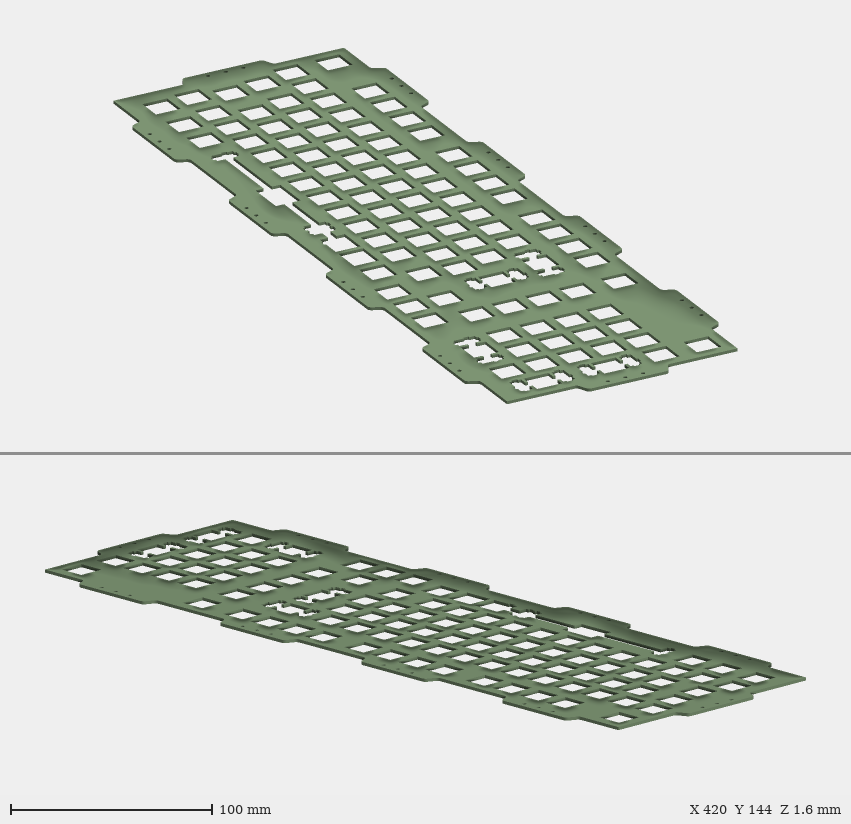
import cadquery as cq

LENGTH = 420.0
WIDTH = 144.0
THICKNESS = 1.6

TAB_HEIGHT = 6.7
TAB_TIP_LENGTH = 45.5
TAB_ROOT_LENGTH = 51.2
TAB_ROUNDING = 2.5
TAB_PITCH = 100.0
LONG_SIDE_TABS = 4
BODY_LENGTH = LENGTH - 2 * TAB_HEIGHT
BODY_WIDTH = WIDTH - 2 * TAB_HEIGHT

HOLE_DIAMETER = 2.2
HOLE_PITCH = TAB_PITCH / 10
HOLES_PER_TAB = 3
HOLE_INSET = 3.5

FIELD_LENGTH = 400.0
FIELD_UNITS = 21
UNIT = FIELD_LENGTH / FIELD_UNITS
KEY_GAP = 5.0
SWITCH_SIZE = UNIT - KEY_GAP

STAB_WIDTH = 6.7
STAB_TOP = SWITCH_SIZE / 2 - 1.45
STAB_BOTTOM = SWITCH_SIZE / 2 - 0.23
STAB_TIP_WIDTH = 3.15
STAB_TIP_TOP = SWITCH_SIZE / 2 - 0.55
STAB_TIP_BOTTOM = SWITCH_SIZE / 2 + 0.95
WIRE_WIDTH = 4.5
WIRE_SLOT_DEPTH = 0.9
WIRE_SLOT_BOTTOM = 0.5
SHORT_STAB_SPAN = 24.0


def run(first, count):
    """Centres of neighbouring one-unit keys, starting at `first`."""
    return [first + i for i in range(count)]


NAVIGATION = [16]
NUMPAD = run(17.5, 3)

KEY_ROWS = {
    2.75: [0.5] + run(2.5, 4) + run(7, 4) + run(11.5, 4) + NAVIGATION + [20.5],
    1.5: run(0.5, 13) + [14] + NAVIGATION + NUMPAD + [20.5],
    0.5: [0.75] + run(2, 12) + NAVIGATION + NUMPAD,
    0: [14.375, 20.5],
    -0.5: [0.875] + run(2.25, 12) + NAVIGATION + NUMPAD,
    -1.5: [0.625] + run(1.75, 11) + [13.125] + NAVIGATION + NUMPAD,
    -1.75: [14.75],
    -2: [20.5],
    -2.5: [0.75, 2, 3.125, 6.875, 7.25, 10.375, 10.5, 11.375, 11.5, 12.5, 18, 19.5],
    -2.75: run(13.75, 3),
}

STABILIZED_KEYS = [(14, 1.5, 0), (18, -2.5, 0), (14.375, 0, -90), (20.5, 0, -90), (20.5, -2, -90)]

SPACE_ROW = -2.5
SPACE_LEFT_STEM = 4.25
SPACE_RIGHT_STEMS = [9.25, 9.5, 10.25]


def key_x(units):
    return (units - FIELD_UNITS / 2) * UNIT


def key_y(units):
    return units * UNIT


def block(x_min, x_max, y_min, y_max):
    """Box as thick as the plate over the given rectangle."""
    size_x = x_max - x_min
    size_y = y_max - y_min
    return cq.Workplane("XY").box(size_x, size_y, THICKNESS).translate(
        ((x_min + x_max) / 2, (y_min + y_max) / 2, 0)
    )


def tab_positions():
    """Centre on the body edge and outward rotation of every tab."""
    positions = [(-BODY_LENGTH / 2, 0, 90), (BODY_LENGTH / 2, 0, -90)]
    for i in range(LONG_SIDE_TABS):
        x = (i - (LONG_SIDE_TABS - 1) / 2) * TAB_PITCH
        positions += [(x, BODY_WIDTH / 2, 0), (x, -BODY_WIDTH / 2, 180)]
    return positions


def place(shape, x, y, angle):
    return shape.rotate((0, 0, 0), (0, 0, 1), angle).translate((x, y, 0))


def is_tab_edge(edge):
    """True for upright edges other than the four body corners."""
    center = edge.Center()
    tolerance = TAB_HEIGHT / 10
    at_end = abs(abs(center.x) - BODY_LENGTH / 2) < tolerance
    at_side = abs(abs(center.y) - BODY_WIDTH / 2) < tolerance
    return not (at_end and at_side)


def make_plate():
    tab = (
        cq.Workplane("XY", origin=(0, 0, -THICKNESS / 2))
        .polyline([
            (-TAB_ROOT_LENGTH / 2, 0),
            (TAB_ROOT_LENGTH / 2, 0),
            (TAB_TIP_LENGTH / 2, TAB_HEIGHT),
            (-TAB_TIP_LENGTH / 2, TAB_HEIGHT),
        ])
        .close()
        .extrude(THICKNESS)
    )
    plate = cq.Workplane("XY").box(BODY_LENGTH, BODY_WIDTH, THICKNESS)
    for x, y, angle in tab_positions():
        plate = plate.union(place(tab, x, y, angle))
    return plate.edges("|Z").filter(is_tab_edge).fillet(TAB_ROUNDING)


def make_tab_holes():
    points = [
        ((i - (HOLES_PER_TAB - 1) / 2) * HOLE_PITCH, TAB_HEIGHT - HOLE_INSET)
        for i in range(HOLES_PER_TAB)
    ]
    holes = (
        cq.Workplane("XY", origin=(0, 0, -THICKNESS / 2))
        .pushPoints(points)
        .circle(HOLE_DIAMETER / 2)
        .extrude(THICKNESS)
    )
    return [place(holes, x, y, angle) for x, y, angle in tab_positions()]


def make_switch_openings():
    points = [(key_x(x), key_y(row)) for row, keys in KEY_ROWS.items() for x in keys]
    half = SWITCH_SIZE / 2
    opening = block(-half, half, -half, half)
    return [opening.translate((x, y, 0)) for x, y in points]


def make_stabilizer(left_stem, right_stem):
    """Two stem cutouts joined by the wire channel, with a wire slot past each outer side."""
    half = STAB_WIDTH / 2
    half_tip = STAB_TIP_WIDTH / 2
    half_wire = WIRE_WIDTH / 2
    left_slot = left_stem - half - WIRE_SLOT_DEPTH
    right_slot = right_stem + half + WIRE_SLOT_DEPTH
    cutout = block(left_stem, right_stem, -half_wire, half_wire)
    cutout = cutout.union(block(left_slot, right_slot, -WIRE_SLOT_BOTTOM, half_wire))
    for stem in (left_stem, right_stem):
        cutout = cutout.union(block(stem - half, stem + half, -STAB_BOTTOM, STAB_TOP))
        cutout = cutout.union(block(stem - half_tip, stem + half_tip, -STAB_TIP_BOTTOM, STAB_TIP_TOP))
    return cutout


def make_stabilizer_openings():
    short = make_stabilizer(-SHORT_STAB_SPAN / 2, SHORT_STAB_SPAN / 2)
    openings = [place(short, key_x(x), key_y(row), angle) for x, row, angle in STABILIZED_KEYS]
    for right_stem in SPACE_RIGHT_STEMS:
        space = make_stabilizer(key_x(SPACE_LEFT_STEM), key_x(right_stem))
        openings.append(space.translate((0, key_y(SPACE_ROW), 0)))
    return openings


cutters = make_tab_holes() + make_switch_openings() + make_stabilizer_openings()
solids = [solid for cutter in cutters for solid in cutter.solids().vals()]
result = cq.Workplane("XY").newObject([make_plate().val().cut(*solids)])